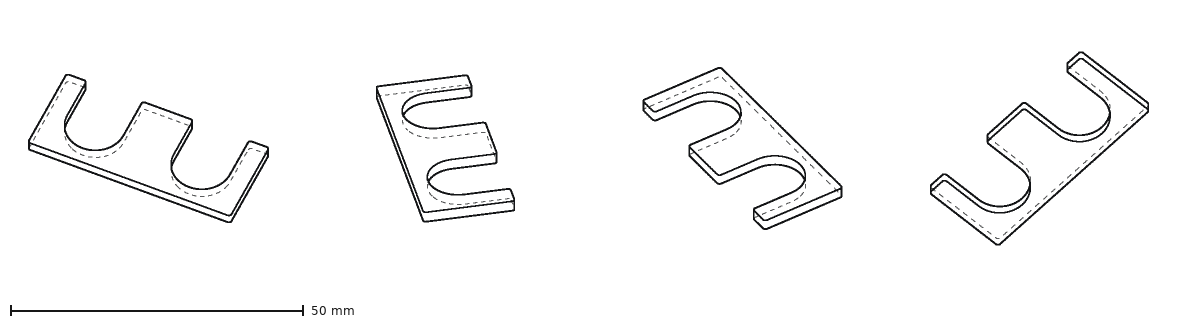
import cadquery as cq

length = 38.0
width = 16.0
thickness = 2.0
corner_radius = 0.5

slot_width = 10.5
slot_spacing = 20.0
slot_arc_center_y = 0.0

slot_radius = slot_width / 2
open_edge_y = width / 2


def make_plate():
    return cq.Workplane("XY").box(length, width, thickness)


def make_slot_cutter(center_x):
    """U-shaped cutter running from the round bottom to the open edge."""
    left_x = center_x - slot_radius
    right_x = center_x + slot_radius
    return (
        cq.Workplane("XY", origin=(0, 0, -thickness / 2))
        .moveTo(left_x, open_edge_y)
        .lineTo(left_x, slot_arc_center_y)
        .threePointArc((center_x, slot_arc_center_y - slot_radius), (right_x, slot_arc_center_y))
        .lineTo(right_x, open_edge_y)
        .close()
        .extrude(thickness)
    )


def round_corners(plate):
    """Round the vertical corners along the closed and open edges."""
    plate = plate.faces("<Y").edges("|Z").fillet(corner_radius)
    return plate.faces(">Y").edges("|Z").fillet(corner_radius)


plate = make_plate()
for side in (-1, 1):
    plate = plate.cut(make_slot_cutter(side * slot_spacing / 2))

result = round_corners(plate)